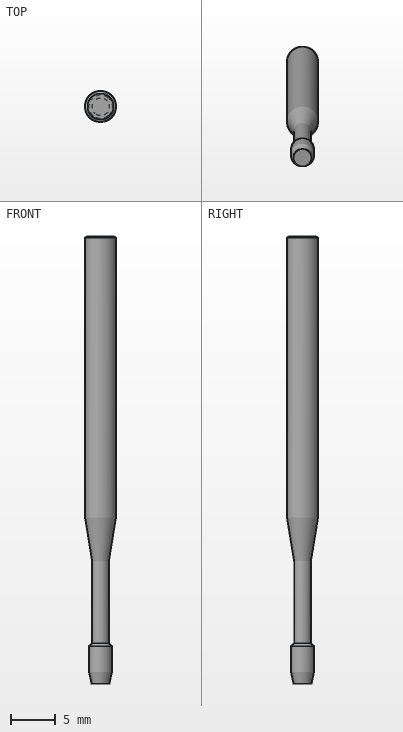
import cadquery as cq

total_length = 50.0
head_length = 4.55
taper_start = 13.7
taper_length = 4.9
taper_end = taper_start + taper_length

shank_radius = 1.75
neck_radius = 0.95
shank_chamfer_height = 0.2
shank_chamfer_width = 0.3

head_radius = 1.3
tip_radius = 1.0
tip_length = 1.35
shoulder_height = 0.35


def turned_body(outline):
    """Revolve (radius, height) points about Z, starting from the -Y side."""
    points = [(-radius, height) for radius, height in outline]
    return cq.Workplane("YZ").polyline(points).close().revolve(360, (0, 0), (0, 1))


def make_cutting_head():
    """Short cylinder with a conical lead below and a conical shoulder above."""
    return turned_body([
        (0, 0),
        (tip_radius, 0),
        (head_radius, tip_length),
        (head_radius, head_length - shoulder_height),
        (neck_radius, head_length),
        (0, head_length),
    ])


def make_shank():
    """Slim neck that widens through a cone into the chamfered shank."""
    return turned_body([
        (0, head_length),
        (neck_radius, head_length),
        (neck_radius, taper_start),
        (shank_radius, taper_end),
        (shank_radius, total_length - shank_chamfer_height),
        (shank_radius - shank_chamfer_width, total_length),
        (0, total_length),
    ])


cutting_head = make_cutting_head()
shank = make_shank()

result = cq.Compound.makeCompound([cutting_head.val(), shank.val()])